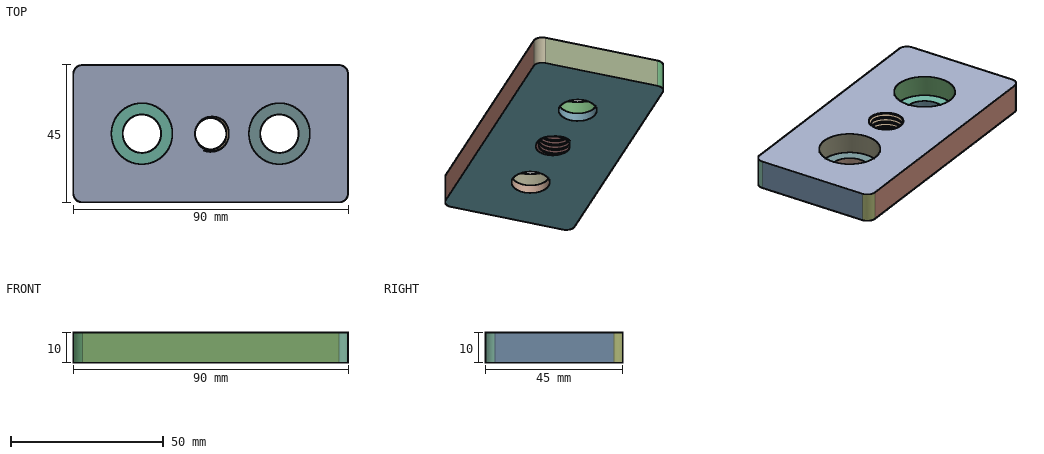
import cadquery as cq
import math

LENGTH = 90.0
WIDTH = 45.0
THICKNESS = 10.0
CORNER_RADIUS = 3.0

SCREW_SPACING = 45.0
SCREW_HOLE_DIAMETER = 12.5
COUNTERBORE_DIAMETER = 20.0
COUNTERBORE_DEPTH = 7.0

THREAD_MAJOR_DIAMETER = 12.0
THREAD_BORE_DIAMETER = 10.2
THREAD_PITCH = 1.75
FLANK_HALF_ANGLE = math.radians(30)
ROOT_FLAT = THREAD_PITCH / 4
PROFILE_OVERLAP = 0.1
ROD_OVERRUN = 3 * THREAD_PITCH


def plate():
    """Flat rectangular plate, base at Z = 0, with rounded vertical corners."""
    blank = cq.Workplane("XY").box(LENGTH, WIDTH, THICKNESS, centered=(True, True, False))
    return blank.edges("|Z").fillet(CORNER_RADIUS)


def cut_screw_holes(body):
    """Two through holes, counterbored from the top face."""
    half_spacing = SCREW_SPACING / 2
    return (
        body.faces(">Z")
        .workplane(origin=(0, 0, THICKNESS))
        .pushPoints([(-half_spacing, 0), (half_spacing, 0)])
        .cboreHole(SCREW_HOLE_DIAMETER, COUNTERBORE_DIAMETER, COUNTERBORE_DEPTH)
    )


def thread_groove():
    """Helical groove cutter, running past both faces of the plate.

    The groove is centred on the top face where it crosses the +X axis.
    """
    turns_below_top = math.ceil(THICKNESS / THREAD_PITCH) + 1
    start_z = THICKNESS - turns_below_top * THREAD_PITCH
    helix_height = (turns_below_top + 1) * THREAD_PITCH

    root_radius = THREAD_MAJOR_DIAMETER / 2
    inner_radius = THREAD_BORE_DIAMETER / 2 - PROFILE_OVERLAP
    root_half = ROOT_FLAT / 2
    mouth_half = root_half + (root_radius - inner_radius) * math.tan(FLANK_HALF_ANGLE)

    helix = cq.Wire.makeHelix(THREAD_PITCH, helix_height, inner_radius, cq.Vector(0, 0, start_z))
    return (
        cq.Workplane("XZ")
        .moveTo(inner_radius, start_z - mouth_half)
        .lineTo(root_radius, start_z - root_half)
        .lineTo(root_radius, start_z + root_half)
        .lineTo(inner_radius, start_z + mouth_half)
        .close()
        .sweep(cq.Workplane(obj=helix), isFrenet=True)
    )


def cut_threaded_hole(body):
    """Cut the bore and its thread together, as one tap-shaped cutter."""
    rod = (
        cq.Workplane("XY")
        .circle(THREAD_BORE_DIAMETER / 2)
        .extrude(THICKNESS + 2 * ROD_OVERRUN)
        .translate((0, 0, -ROD_OVERRUN))
        .rotate((0, 0, 0), (0, 0, 1), 180)
    )
    return body.cut(rod.union(thread_groove()))


result = cut_threaded_hole(cut_screw_holes(plate()))